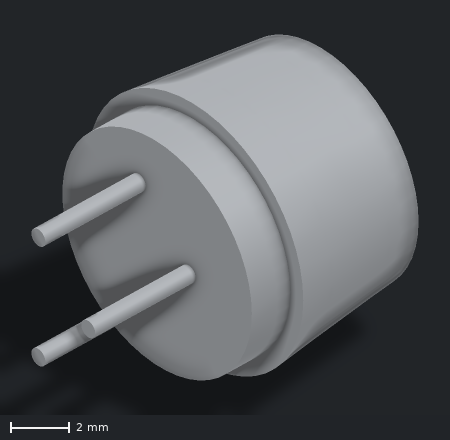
import cadquery as cq

total_length = 12.5
cap_length = 6.0
base_length = 1.8
cap_rim_diameter = 10.8
base_diameter = 9.5
cap_end_diameter = base_diameter
pin_diameter = 0.7
pair_pin_z = 2.54
single_pin_x = 1.59
pair_pin_x = -0.91

pin_length = total_length - cap_length - base_length
base_back_y = pin_length
cap_rim_y = base_back_y + base_length
pin_centres = [
    (single_pin_x, 0),
    (pair_pin_x, pair_pin_z),
    (pair_pin_x, -pair_pin_z),
]


def make_body():
    """Tapered cap and cylindrical base, revolved about the Y axis."""
    profile = [
        (0, base_back_y),
        (base_diameter / 2, base_back_y),
        (base_diameter / 2, cap_rim_y),
        (cap_rim_diameter / 2, cap_rim_y),
        (cap_end_diameter / 2, total_length),
        (0, total_length),
    ]
    return cq.Workplane("XY").polyline(profile).close().revolve(360, (0, 0), (0, 1))


def make_pin(x, z):
    """Round pin from its free end at Y = 0 to the back of the base."""
    direction = cq.Vector(0, 1, 0)
    return cq.Solid.makeCylinder(pin_diameter / 2, pin_length, cq.Vector(x, 0, z), direction)


result = make_body()
for x, z in pin_centres:
    result = result.union(make_pin(x, z))